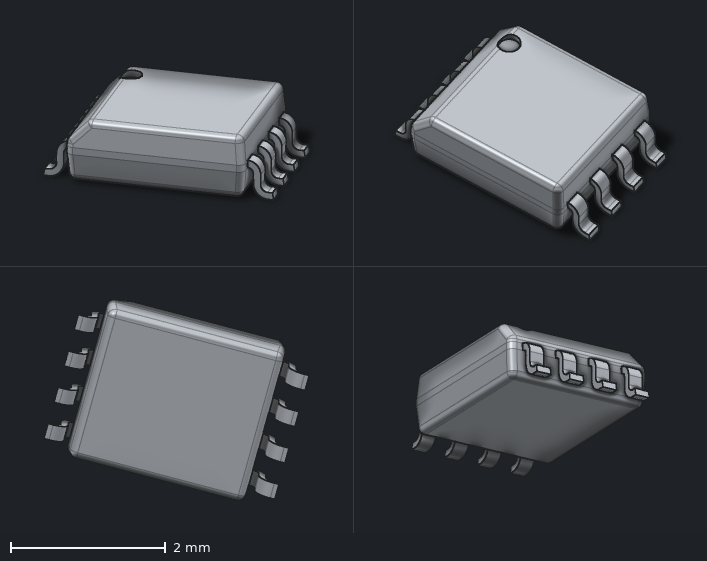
import cadquery as cq
import math

overall_length = 3.1
overall_height = 0.9
body_length = 2.4
body_width = 2.1
standoff = 0.04

body_height = overall_height - standoff
band_height = 0.1
band_mid = standoff + body_height / 2
draft_angle = 5.0
half_height = (body_height - band_height) / 2
bevel_size = 0.3
edge_radius = 0.1

mark_diameter = 0.3
mark_depth = 0.1
mark_inset = 0.4

lead_count = 4
lead_pitch = 0.5
lead_width = 0.21
lead_thickness = 0.1
shoulder_radius = 0.133
heel_radius = 0.15
lead_column_x = 1.325
lead_tilt = 10.0


def tapered_half(direction):
    """Drafted block from the band to the top (direction 1) or the bottom (direction -1)."""
    plane = cq.Plane(
        origin=(0, 0, band_mid + direction * band_height / 2),
        xDir=(1, 0, 0),
        normal=(0, 0, direction),
    )
    return (
        cq.Workplane(plane)
        .rect(body_length, body_width)
        .extrude(half_height, taper=draft_angle)
    )


def bevel_cutter():
    """Triangular prism that removes the upper edge on the pin 1 side."""
    draft_slope = math.tan(math.radians(draft_angle))
    foot_z = overall_height - bevel_size
    foot_height = half_height - bevel_size
    foot_x = -body_length / 2 + foot_height * draft_slope
    margin = bevel_size
    return (
        cq.Workplane("XZ")
        .moveTo(foot_x - margin, foot_z - margin)
        .lineTo(foot_x + bevel_size + margin, overall_height + margin)
        .lineTo(foot_x - margin, overall_height + margin)
        .close()
        .extrude(body_width / 2, both=True)
    )


def make_body():
    """Moulded body with its bevel, rounded edges and pin 1 mark."""
    upper = tapered_half(1).cut(bevel_cutter()).edges("not <Z").fillet(edge_radius)
    lower = tapered_half(-1).edges("not >Z").fillet(edge_radius)
    band = upper.faces("<Z").wires().toPending().workplane().extrude(band_height, combine=False)
    mark = (
        cq.Workplane("XY", origin=(0, 0, overall_height - mark_depth))
        .center(mark_inset - body_length / 2, body_width / 2 - mark_inset)
        .circle(mark_diameter / 2)
        .extrude(mark_depth)
    )
    return band.union(upper).union(lower).cut(mark)


def make_lead(side, y):
    """One lead on the given side (-1 or 1), centred on y.

    The path turns down from the body, drops, then turns outward into the foot.
    The cross-section leans by lead_tilt, so each side of the lead is shifted along
    the path: the outer side lags and the inner side leads.
    """
    half_thickness = lead_thickness / 2
    shift = half_thickness * math.tan(math.radians(lead_tilt))
    shoulder = (lead_column_x - shoulder_radius, band_mid - shoulder_radius)
    heel = (lead_column_x + heel_radius, half_thickness + heel_radius)
    shoulder_outer = shoulder_radius + half_thickness
    shoulder_inner = shoulder_radius - half_thickness
    heel_outer = heel_radius + half_thickness
    heel_inner = heel_radius - half_thickness
    tip_x = overall_length / 2 - shift

    def polar(centre, radius, along, angle):
        """Point at an angle around a bend, moved a distance along the turn direction."""
        a = math.radians(angle)
        x = centre[0] + radius * math.cos(a) - along * math.sin(a)
        z = centre[1] + radius * math.sin(a) + along * math.cos(a)
        return (side * x, z)

    profile = (
        cq.Workplane("XZ", origin=(0, y + lead_width / 2, 0))
        .moveTo(*polar(shoulder, shoulder_outer, shift, 90))
        .threePointArc(
            polar(shoulder, shoulder_outer, shift, 45),
            polar(shoulder, shoulder_outer, shift, 0),
        )
        .lineTo(*polar(heel, heel_inner, -shift, 180))
        .threePointArc(
            polar(heel, heel_inner, -shift, 225),
            polar(heel, heel_inner, -shift, 270),
        )
        .lineTo(side * (tip_x - shift), lead_thickness)
        .lineTo(side * (tip_x + shift), 0)
        .lineTo(*polar(heel, heel_outer, shift, 270))
        .threePointArc(
            polar(heel, heel_outer, shift, 225),
            polar(heel, heel_outer, shift, 180),
        )
        .lineTo(*polar(shoulder, shoulder_inner, -shift, 0))
        .threePointArc(
            polar(shoulder, shoulder_inner, -shift, 45),
            polar(shoulder, shoulder_inner, -shift, 90),
        )
        .close()
    )
    return profile.extrude(lead_width)


body = make_body()
leads = []
for side in (-1, 1):
    for index in range(lead_count):
        lead_y = (index - (lead_count - 1) / 2) * lead_pitch
        lead = make_lead(side, lead_y)
        body = body.cut(lead)
        leads.append(lead.val())

result = cq.Compound.makeCompound([body.val(), *leads])